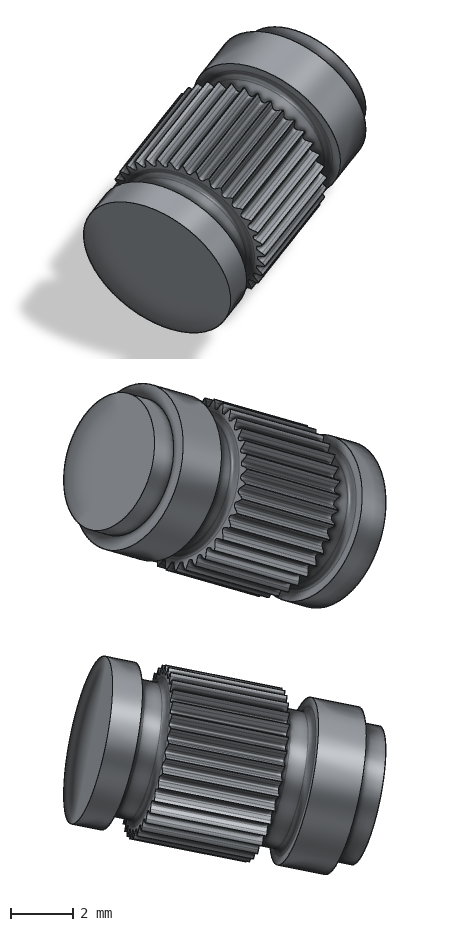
import cadquery as cq
import math

end_flange_length = 1.0
groove_length = 1.0
knurl_length = 3.9
rear_flange_length = 1.6
nose_length = 0.8

flange_diameter = 5.5
groove_diameter = 4.5
nose_diameter = 4.55
knurl_diameter = 5.7
groove_fillet = 0.2

tooth_count = 36
valley_angle = 60.0
valley_bottom_diameter = 5.12
valley_fillet = 0.1
crest_curve_radius = 0.4
crest_width = 0.015

end_flange_rear = end_flange_length
knurl_front = end_flange_rear + groove_length
knurl_rear = knurl_front + knurl_length
rear_flange_front = knurl_rear + groove_length
nose_front = rear_flange_front + rear_flange_length


def cylinder(diameter, start, length):
    """Cylinder along +Y that begins at the given Y station."""
    plane = cq.Workplane("XZ", origin=(0, start, 0))
    return plane.circle(diameter / 2).extrude(-length)


def filleted_groove(start):
    """Neck between two larger sections, filleted into both side walls."""
    radius = groove_diameter / 2
    wall_radius = radius + groove_fillet
    end = start + groove_length
    arc_offset = groove_fillet * (1 - math.sqrt(0.5))
    profile = (
        cq.Workplane("XY")
        .moveTo(0, start)
        .lineTo(wall_radius, start)
        .threePointArc(
            (radius + arc_offset, start + arc_offset),
            (radius, start + groove_fillet),
        )
        .lineTo(radius, end - groove_fillet)
        .threePointArc(
            (radius + arc_offset, end - arc_offset),
            (wall_radius, end),
        )
        .lineTo(0, end)
        .close()
    )
    return profile.revolve(360, (0, 0, 0), (0, 1, 0))


def valley_half_points():
    """Points up the +X half of the valley that is centred on the +Z axis.

    Returned in order: valley bottom, start of the straight flank, start of
    the convex crest curve, middle of that curve, edge of the tooth crest.
    """
    half_angle = math.radians(valley_angle / 2)
    sine = math.sin(half_angle)
    cosine = math.cos(half_angle)
    bottom_z = valley_bottom_diameter / 2
    fillet_center_z = bottom_z + valley_fillet
    flank_start = (valley_fillet * cosine, fillet_center_z - valley_fillet * sine)

    crest_angle = math.pi / tooth_count - crest_width / knurl_diameter
    crest_x = knurl_diameter / 2 * math.sin(crest_angle)
    crest_z = knurl_diameter / 2 * math.cos(crest_angle)

    offset_x = crest_x - flank_start[0]
    offset_z = crest_z - flank_start[1]
    along = offset_x * sine + offset_z * cosine
    inward = offset_x * cosine - offset_z * sine

    sweep = math.acos(1 - inward / crest_curve_radius)
    straight_length = along - crest_curve_radius * math.sin(sweep)

    def curve_point(turn):
        forward = straight_length + crest_curve_radius * math.sin(turn)
        sideways = crest_curve_radius * (1 - math.cos(turn))
        x = flank_start[0] + forward * sine + sideways * cosine
        z = flank_start[1] + forward * cosine - sideways * sine
        return x, z

    return (0, bottom_z), flank_start, curve_point(0), curve_point(sweep / 2), (crest_x, crest_z)


def knurled_section():
    """Knurl extruded from its toothed outline, with one valley facing +Z."""
    bottom, flank_start, curve_start, curve_middle, crest = valley_half_points()

    def placed(point, index, side):
        """Valley point moved to the given valley; side -1 mirrors it first."""
        angle = 2 * math.pi * index / tooth_count
        x = side * point[0]
        z = point[1]
        return (
            x * math.cos(angle) + z * math.sin(angle),
            z * math.cos(angle) - x * math.sin(angle),
        )

    outline = cq.Workplane("XZ", origin=(0, knurl_front, 0)).moveTo(*placed(crest, 0, -1))
    for index in range(tooth_count):
        outline = (
            outline.threePointArc(placed(curve_middle, index, -1), placed(curve_start, index, -1))
            .lineTo(*placed(flank_start, index, -1))
            .threePointArc(placed(bottom, index, 1), placed(flank_start, index, 1))
            .lineTo(*placed(curve_start, index, 1))
            .threePointArc(placed(curve_middle, index, 1), placed(crest, index, 1))
            .lineTo(*placed(crest, (index + 1) % tooth_count, -1))
        )
    return outline.close().extrude(-knurl_length)


result = (
    cylinder(flange_diameter, 0, end_flange_length)
    .union(filleted_groove(end_flange_rear))
    .union(knurled_section())
    .union(filleted_groove(knurl_rear))
    .union(cylinder(flange_diameter, rear_flange_front, rear_flange_length))
    .union(cylinder(nose_diameter, nose_front, nose_length))
)